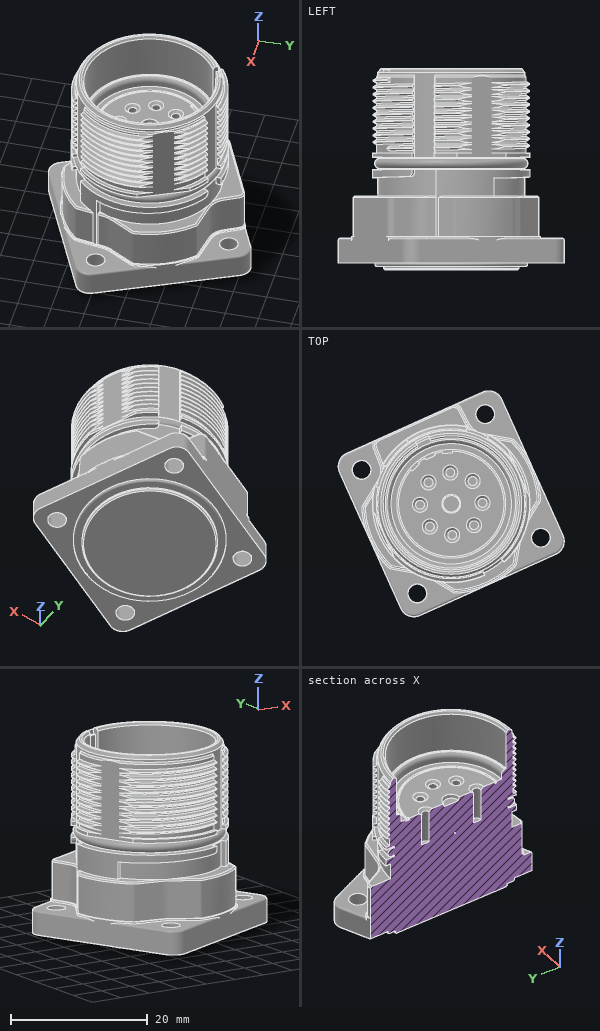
import cadquery as cq
import math


FLANGE_TURN = 24.25
FLANGE_SIDE = 26.0
FLANGE_THICKNESS = 3.65
FLANGE_CORNER_RADIUS = 2.1
BOLT_SPACING = 19.8
BOLT_HOLE_DIAMETER = 2.7
EDGE_ROUND = 0.35

SPIGOT_RADIUS = 11.17
SPIGOT_HEIGHT = 0.5
SPIGOT_ROUND = 0.28
PILOT_RADIUS = 19.8 / 2
PILOT_HEIGHT = 0.5
PILOT_CHAMFER = 0.22

BODY_TOP = 9.8
LOBE_RADIUS = 12.82
LOBE_HALF_ANGLE = 21.9
VALLEY_RADIUS = 10.86
VALLEY_FILLET = 2.5
LOBE_EDGE_FILLET = 0.7
LUG_HALF_WIDTH = 6.75
LUG_ROOT_HALF_WIDTH = 7.0
LUG_EDGE_FILLET = 1.0
LUG_ROOT_FILLET = 3.0
FOOT_WIDTH = 0.25
FOOT_BEVEL = 0.95 * FOOT_WIDTH
PICK_REACH = 0.1

SHELL_RADIUS = 10.75
SHELL_RIM_RADIUS = 10.3
SHELL_TOP = 28.4
SHOULDER_Z = SHELL_TOP - 0.55
LAND_TOP = SHELL_TOP - 0.95
LAND_CHAMFER_DEPTH = 0.3
BORE_RADIUS = 9.65
BORE_CHAMFER_WIDTH = 0.3
BORE_CHAMFER_DEPTH = 0.4

COLLAR_RADIUS = 11.52
COLLAR_TOP = 13.65
COLLAR_LOW_END = 12.4
COLLAR_HIGH_END = 12.65
COLLAR_TRIM = 0.5
COLLAR_END_FILLET = 0.7
RING_BOTTOM = 15.45
RING_TOP = 16.05
SEAL_TUBE_RADIUS = 0.78
SEAL_CENTRE_RADIUS = 11.2 - SEAL_TUBE_RADIUS
SEAL_GROOVE_RADIUS = 10.1
SEAL_Z = (COLLAR_TOP + RING_BOTTOM) / 2

THREAD_CREST_RADIUS = 11.46
THREAD_ROOT_RADIUS = 10.95
THREAD_PITCH = 1.0
THREAD_TURNS = 10
THREAD_START_Z = 16.75
THREAD_START_ANGLE = 100.75
THREAD_ROOT_WIDTH = 0.72
THREAD_CREST_WIDTH = 0.1
THREAD_EMBED = 0.1

THREADED_PADS = ((54.0, 126.0), (143.0, 271.0), (288.0, 397.0))
FULL_PADS = ((144.5, 188.5), (288.0, 307.0))
THIN_COLLARS = ((54.0, 126.0), (188.5, 271.0), (307.0, 397.0))
FLAT_DISTANCE = 10.83

INSERT_FACE = 19.65
LIP_RADIUS = 9.4
LIP_Z = 21.25
INNER_SEAL_RADIUS = 8.8
KEYWAY_WIDTH = 2.1
KEYWAY_RADIUS = 10.4
SPLIT_OUTER_RADIUS = 7.95
SPLIT_INNER_RADIUS = 7.7
SPLIT_DEPTH = 0.3
NOTCH_RADIUS = 7.4
NOTCH_WIDTH = 1.5
NOTCH_ANGLES = (70.0, 90.0, 110.0)
SOCKET_COUNT = 8
SOCKET_CIRCLE_RADIUS = 4.565
SOCKET_DIAMETER = 1.3
SOCKET_MOUTH_DIAMETER = 2.2
SOCKET_MOUTH_DEPTH = 0.4
SOCKET_DEPTH = 6.0
CENTRE_MOUTH_DIAMETER = 2.75
CENTRE_FLOOR_DIAMETER = 2.4
CENTRE_DEPTH = 0.6


def polar(radius, angle):
    a = math.radians(angle)
    return (radius * math.cos(a), radius * math.sin(a))


def turn_about_z(solid, angle):
    return solid.rotate((0, 0, 0), (0, 0, 1), angle)


def disc(radius, bottom, top):
    return cq.Workplane("XY").workplane(offset=bottom).circle(radius).extrude(top - bottom)


def tube(inner, outer, bottom, top):
    return cq.Workplane("XY").workplane(offset=bottom).circle(outer).circle(inner).extrude(top - bottom)


def cone(bottom_radius, top_radius, bottom, top):
    solid = cq.Solid.makeCone(bottom_radius, top_radius, top - bottom, cq.Vector(0, 0, bottom))
    return cq.Workplane("XY").add(solid)


def revolve_between(profile, start, end):
    """Profile of (radius, height) points turned counter-clockwise about Z between two angles."""
    outline = cq.Workplane("XZ").polyline(profile).close()
    return turn_about_z(outline.revolve(end - start, (0, 0, 0), (0, 1, 0)), start)


def sector(inner, outer, bottom, top, start, end):
    """Part of a tube between two angles."""
    return revolve_between([(inner, bottom), (outer, bottom), (outer, top), (inner, top)], start, end)


def revolve_round(profile):
    """Profile in the radius-height plane, closed and turned fully about Z."""
    return profile.close().revolve(360, (0, 0, 0), (0, 1, 0))


def make_flange():
    flange = cq.Workplane("XY").rect(FLANGE_SIDE, FLANGE_SIDE).extrude(FLANGE_THICKNESS)
    flange = flange.edges("|Z").fillet(FLANGE_CORNER_RADIUS).faces(">Z").edges().fillet(EDGE_ROUND)
    bolts = cq.Workplane("XY").rect(BOLT_SPACING, BOLT_SPACING, forConstruction=True).vertices()
    return flange.cut(bolts.circle(BOLT_HOLE_DIAMETER / 2).extrude(FLANGE_THICKNESS))


def make_spigot():
    spigot = disc(SPIGOT_RADIUS, -SPIGOT_HEIGHT, 0).faces("<Z").edges().fillet(SPIGOT_ROUND)
    pilot = disc(PILOT_RADIUS, -SPIGOT_HEIGHT - PILOT_HEIGHT, 0).faces("<Z").chamfer(PILOT_CHAMFER)
    return spigot.union(pilot)


def fillet_upright_edges(solid, points, radius):
    """Round the upright body edges that stand at the given points."""
    for x, y in points:
        low = (x - PICK_REACH, y - PICK_REACH, 0)
        high = (x + PICK_REACH, y + PICK_REACH, BODY_TOP)
        solid = solid.edges("|Z").edges(cq.selectors.BoxSelector(low, high)).fillet(radius)
    return solid


def make_body():
    """Lobes on -X, +X and -Y, a square lug on +Y, flush with the flange side."""
    lobe_x, lobe_y = polar(LOBE_RADIUS, LOBE_HALF_ANGLE)
    valley_x, valley_y = polar(VALLEY_RADIUS, 45)
    flank_slope = (valley_y - lobe_y) / (lobe_x - valley_x)
    lug_root_y = lobe_y + flank_slope * (lobe_x - LUG_ROOT_HALF_WIDTH)
    lug_top = FLANGE_SIDE / 2
    outline = (
        cq.Workplane("XY")
        .moveTo(LUG_HALF_WIDTH, lug_top)
        .lineTo(-LUG_HALF_WIDTH, lug_top)
        .lineTo(-LUG_ROOT_HALF_WIDTH, lug_root_y)
        .lineTo(-lobe_x, lobe_y)
        .threePointArc((-LOBE_RADIUS, 0), (-lobe_x, -lobe_y))
        .lineTo(-valley_x, -valley_y)
        .lineTo(-lobe_y, -lobe_x)
        .threePointArc((0, -LOBE_RADIUS), (lobe_y, -lobe_x))
        .lineTo(valley_x, -valley_y)
        .lineTo(lobe_x, -lobe_y)
        .threePointArc((LOBE_RADIUS, 0), (lobe_x, lobe_y))
        .lineTo(LUG_ROOT_HALF_WIDTH, lug_root_y)
        .close()
    )
    body = outline.extrude(BODY_TOP)
    lug_edges = [(side * LUG_HALF_WIDTH, lug_top) for side in (-1, 1)]
    lug_roots = [(side * LUG_ROOT_HALF_WIDTH, lug_root_y) for side in (-1, 1)]
    valleys = [(side * valley_x, -valley_y) for side in (-1, 1)]
    lobe_edges = [(sx * lobe_x, sy * lobe_y) for sx in (-1, 1) for sy in (-1, 1)]
    lobe_edges += [(side * lobe_y, -lobe_x) for side in (-1, 1)]
    body = fillet_upright_edges(body, lug_edges, LUG_EDGE_FILLET)
    body = fillet_upright_edges(body, lug_roots, LUG_ROOT_FILLET)
    body = fillet_upright_edges(body, valleys, VALLEY_FILLET)
    body = fillet_upright_edges(body, lobe_edges, LOBE_EDGE_FILLET)
    return body.faces(">Z").edges().fillet(EDGE_ROUND).union(make_body_foot(body))


def make_body_foot(body):
    """Narrow bevel around the body where it meets the flange, kept inside the flange sides."""
    outline = body.faces("<Z").wires().toPending().offset2D(FOOT_WIDTH)
    foot = outline.extrude(FLANGE_THICKNESS + FOOT_WIDTH).faces(">Z").chamfer(FOOT_BEVEL)
    return foot.intersect(cq.Workplane("XY").box(FLANGE_SIDE, FLANGE_SIDE, 2 * BODY_TOP))


def make_thin_collar(start, end):
    """Collar stretch whose underside climbs towards its rounded end."""
    inner = SEAL_GROOVE_RADIUS
    stretch = sector(inner, COLLAR_RADIUS, COLLAR_LOW_END - COLLAR_TRIM, COLLAR_TOP, start, end)
    half_length = COLLAR_RADIUS * math.sin(math.radians((end - start) / 2))
    tilt = math.degrees(math.atan((COLLAR_HIGH_END - COLLAR_LOW_END) / (2 * half_length)))
    mid_height = (COLLAR_LOW_END + COLLAR_HIGH_END) / 2
    tool_side = 4 * COLLAR_RADIUS
    tool = cq.Workplane("XY").box(tool_side, tool_side, BODY_TOP, centered=(True, True, False))
    tool = tool.translate((0, 0, -BODY_TOP)).rotate((0, 0, 0), (1, 0, 0), tilt)
    tool = tool.translate((0, 0, mid_height))
    stretch = stretch.cut(turn_about_z(tool, (start + end) / 2))
    corner_x, corner_y = polar((inner + COLLAR_RADIUS) / 2, end)
    corner = cq.selectors.NearestToPointSelector((corner_x, corner_y, COLLAR_HIGH_END))
    return stretch.edges(corner).fillet(COLLAR_END_FILLET)


def make_collar():
    """Collar stretches, some of them reaching down to the body."""
    collar = cq.Workplane("XY")
    for start, end in THIN_COLLARS:
        collar = collar.add(make_thin_collar(start, end))
    for start, end in FULL_PADS:
        collar = collar.add(sector(SEAL_GROOVE_RADIUS, COLLAR_RADIUS, FLANGE_THICKNESS, COLLAR_TOP, start, end))
    return collar.combine()


def make_ridge(start, end):
    """Stretch of the right-hand thread ridge between two angles counted on along the helix."""
    crest = THREAD_CREST_WIDTH / 2
    root = THREAD_ROOT_WIDTH / 2
    flank_slope = (root - crest) / (THREAD_CREST_RADIUS - THREAD_ROOT_RADIUS)
    foot = root + flank_slope * THREAD_EMBED
    inner = THREAD_ROOT_RADIUS - THREAD_EMBED
    path = cq.Wire.makeHelix(THREAD_PITCH, THREAD_PITCH * (end - start) / 360, THREAD_ROOT_RADIUS)
    profile = cq.Workplane("XZ").polyline([
        (inner, -foot),
        (THREAD_CREST_RADIUS, -crest),
        (THREAD_CREST_RADIUS, crest),
        (inner, foot),
    ]).close()
    ridge = profile.sweep(cq.Workplane("XY").add(path), isFrenet=True)
    climb = THREAD_PITCH * (start - THREAD_START_ANGLE) / 360
    return turn_about_z(ridge, start).translate((0, 0, THREAD_START_Z + climb)).val()


def make_threaded_pad(start, end):
    """Threaded stretch between two axial grooves, with its part of the ring below the thread."""
    pad = revolve_between([
        (SEAL_GROOVE_RADIUS, RING_BOTTOM),
        (COLLAR_RADIUS, RING_BOTTOM),
        (COLLAR_RADIUS, RING_TOP),
        (THREAD_ROOT_RADIUS, RING_TOP),
        (THREAD_ROOT_RADIUS, LAND_TOP - LAND_CHAMFER_DEPTH),
        (SHELL_RADIUS, LAND_TOP),
        (SEAL_GROOVE_RADIUS, LAND_TOP),
    ], start, end)
    thread_end_angle = THREAD_START_ANGLE + 360 * THREAD_TURNS
    ridges = []
    for turn in range(THREAD_TURNS + 1):
        ridge_start = max(start + 360 * turn, THREAD_START_ANGLE)
        ridge_end = min(end + 360 * turn, thread_end_angle)
        if ridge_end > ridge_start:
            ridges.append(make_ridge(ridge_start, ridge_end))
    return cq.Workplane("XY").add(pad.val().fuse(*ridges))


def make_threaded_sleeve():
    """Three threaded pads, with two flats cut across them."""
    sleeve = cq.Workplane("XY")
    for start, end in THREADED_PADS:
        sleeve = sleeve.add(make_threaded_pad(start, end))
    between_flats = cq.Workplane("XY").box(2 * FLAT_DISTANCE, 4 * COLLAR_RADIUS, 4 * SHELL_TOP)
    return sleeve.combine().intersect(between_flats)


def make_shell():
    """Plain shell with the sealing ring seated in its groove."""
    seal_rise = math.sqrt(SEAL_TUBE_RADIUS ** 2 - (SEAL_CENTRE_RADIUS - SEAL_GROOVE_RADIUS) ** 2)
    return revolve_round(
        cq.Workplane("XZ")
        .lineTo(SHELL_RADIUS, 0)
        .lineTo(SHELL_RADIUS, COLLAR_TOP)
        .lineTo(SEAL_GROOVE_RADIUS, COLLAR_TOP)
        .lineTo(SEAL_GROOVE_RADIUS, SEAL_Z - seal_rise)
        .threePointArc(
            (SEAL_CENTRE_RADIUS + SEAL_TUBE_RADIUS, SEAL_Z),
            (SEAL_GROOVE_RADIUS, SEAL_Z + seal_rise),
        )
        .lineTo(SEAL_GROOVE_RADIUS, RING_BOTTOM)
        .lineTo(SHELL_RADIUS, RING_BOTTOM)
        .lineTo(SHELL_RADIUS, SHOULDER_Z)
        .lineTo(SHELL_RIM_RADIUS, SHELL_TOP)
        .lineTo(0, SHELL_TOP)
    )


def make_cavity():
    """Bore down to the insert face, with a keyway and the bulge of an inner sealing ring."""
    seal_z = INSERT_FACE + SEAL_TUBE_RADIUS
    seal_centre = INNER_SEAL_RADIUS + SEAL_TUBE_RADIUS
    lip_z = seal_z + math.sqrt(SEAL_TUBE_RADIUS ** 2 - (seal_centre - LIP_RADIUS) ** 2)
    diagonal = SEAL_TUBE_RADIUS * math.sqrt(0.5)
    cavity = revolve_round(
        cq.Workplane("XZ")
        .moveTo(0, INSERT_FACE)
        .lineTo(INNER_SEAL_RADIUS, INSERT_FACE)
        .lineTo(INNER_SEAL_RADIUS, seal_z)
        .threePointArc((seal_centre - diagonal, seal_z + diagonal), (LIP_RADIUS, lip_z))
        .lineTo(LIP_RADIUS, LIP_Z)
        .lineTo(BORE_RADIUS, LIP_Z)
        .lineTo(BORE_RADIUS, SHELL_TOP - BORE_CHAMFER_DEPTH)
        .lineTo(BORE_RADIUS + BORE_CHAMFER_WIDTH, SHELL_TOP)
        .lineTo(0, SHELL_TOP)
    )
    keyway = cq.Workplane("XY").workplane(offset=LIP_Z).center(0, KEYWAY_RADIUS / 2)
    return cavity.union(keyway.rect(KEYWAY_WIDTH, KEYWAY_RADIUS).extrude(SHELL_TOP - LIP_Z))


def make_split_ring():
    """Shallow ring gap around the insert, widened inwards by three notches."""
    floor = INSERT_FACE - SPLIT_DEPTH
    gap = tube(SPLIT_INNER_RADIUS, SPLIT_OUTER_RADIUS, floor, INSERT_FACE)
    notch_length = (SPLIT_INNER_RADIUS + SPLIT_OUTER_RADIUS) / 2 - NOTCH_RADIUS
    for angle in NOTCH_ANGLES:
        notch = cq.Workplane("XY").box(notch_length, NOTCH_WIDTH, SPLIT_DEPTH, centered=(False, True, False))
        gap = gap.union(turn_about_z(notch.translate((NOTCH_RADIUS, 0, floor)), angle))
    return gap


def make_socket():
    """Blind contact hole with a conical mouth."""
    mouth_bottom = INSERT_FACE - SOCKET_MOUTH_DEPTH
    mouth = cone(SOCKET_DIAMETER / 2, SOCKET_MOUTH_DIAMETER / 2, mouth_bottom, INSERT_FACE)
    return disc(SOCKET_DIAMETER / 2, INSERT_FACE - SOCKET_DEPTH, INSERT_FACE).union(mouth)


def cut_insert_details(shell):
    shell = shell.cut(make_split_ring())
    socket = make_socket()
    for i in range(SOCKET_COUNT):
        x, y = polar(SOCKET_CIRCLE_RADIUS, (i + 0.5) * 360 / SOCKET_COUNT)
        shell = shell.cut(socket.translate((x, y, 0)))
    centre_floor = INSERT_FACE - CENTRE_DEPTH
    return shell.cut(cone(CENTRE_FLOOR_DIAMETER / 2, CENTRE_MOUTH_DIAMETER / 2, centre_floor, INSERT_FACE))


shell = cut_insert_details(make_shell().cut(make_cavity()))
base = make_flange().union(make_spigot()).union(make_body())
part = base.union(shell).union(make_collar()).union(make_threaded_sleeve())
result = turn_about_z(part, FLANGE_TURN)